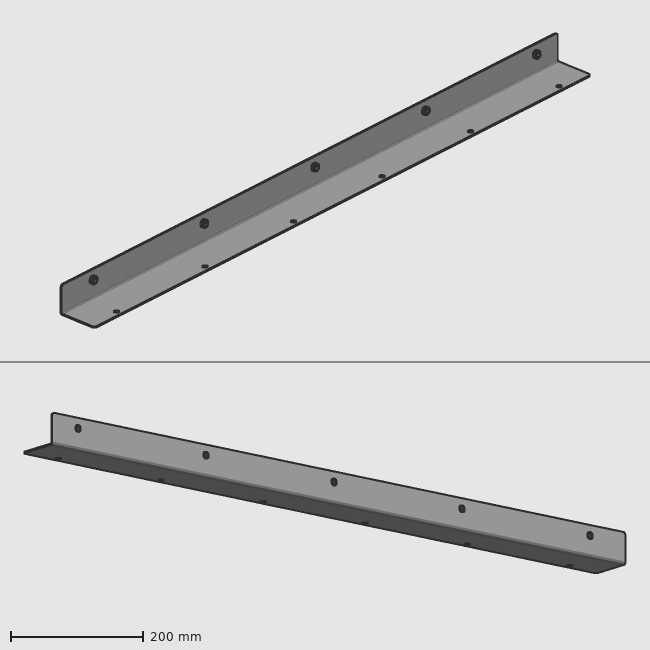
import cadquery as cq

length = 1120.0
flange_width = 70.0
wall_height = 50.0
sheet = 2.5
inner_bend_radius = 1.7
outer_bend_radius = inner_bend_radius + sheet
corner_radius = 5.0

flange_hole_count = 6
flange_hole_end_distance = 60.0
flange_hole_pitch = (length - 2 * flange_hole_end_distance) / (flange_hole_count - 1)
flange_hole_diameter = 8.4
flange_hole_edge_distance = 10.0

nut_count = 5
nut_distance_from_back = 50.0
nut_distance_from_front = 70.0
nut_pitch = (length - nut_distance_from_back - nut_distance_from_front) / (nut_count - 1)
nut_height = 34.0
nut_head_diameter = 13.0
nut_head_thickness = 6.0
nut_head_chamfer = 1.0
nut_shank_diameter = 11.0
nut_bore_diameter = 7.0

flange_hole_x = flange_width - flange_hole_edge_distance
flange_hole_positions = [
    (flange_hole_x, (i - (flange_hole_count - 1) / 2) * flange_hole_pitch)
    for i in range(flange_hole_count)
]
nut_positions = [
    (length / 2 - nut_distance_from_back - i * nut_pitch, nut_height) for i in range(nut_count)
]


def make_angle():
    """Bent sheet angle with holes in the flange and a shank hole in the wall for every nut."""
    flange_start = outer_bend_radius
    angle = (
        cq.Workplane("XZ", origin=(0, length / 2, 0))
        .moveTo(flange_start, 0)
        .lineTo(flange_width, 0)
        .lineTo(flange_width, sheet)
        .lineTo(flange_start, sheet)
        .radiusArc((sheet, outer_bend_radius), inner_bend_radius)
        .lineTo(sheet, wall_height)
        .lineTo(0, wall_height)
        .lineTo(0, outer_bend_radius)
        .radiusArc((flange_start, 0), -outer_bend_radius)
        .close()
        .extrude(length)
        .edges("|Z and >X")
        .fillet(corner_radius)
        .edges("|X and >Z")
        .fillet(corner_radius)
    )
    flange_holes = (
        cq.Workplane("XY")
        .pushPoints(flange_hole_positions)
        .circle(flange_hole_diameter / 2)
        .extrude(sheet)
    )
    shank_holes = (
        cq.Workplane("YZ")
        .pushPoints(nut_positions)
        .circle(nut_shank_diameter / 2)
        .extrude(sheet)
    )
    return angle.cut(flange_holes).cut(shank_holes)


def make_nut(y, z):
    """Round press-in nut: shank flush through the wall, head on the wall's inner face."""
    shank = cq.Workplane("YZ", origin=(0, y, z)).circle(nut_shank_diameter / 2).extrude(sheet)
    head = (
        cq.Workplane("YZ", origin=(sheet, y, z))
        .circle(nut_head_diameter / 2)
        .extrude(nut_head_thickness)
        .faces(">X")
        .edges()
        .chamfer(nut_head_chamfer)
    )
    bore = (
        cq.Workplane("YZ", origin=(0, y, z))
        .circle(nut_bore_diameter / 2)
        .extrude(sheet + nut_head_thickness)
    )
    return shank.union(head).cut(bore)


angle = make_angle()
nuts = [make_nut(y, z) for y, z in nut_positions]

result = cq.Compound.makeCompound([angle.val(), *[nut.val() for nut in nuts]])